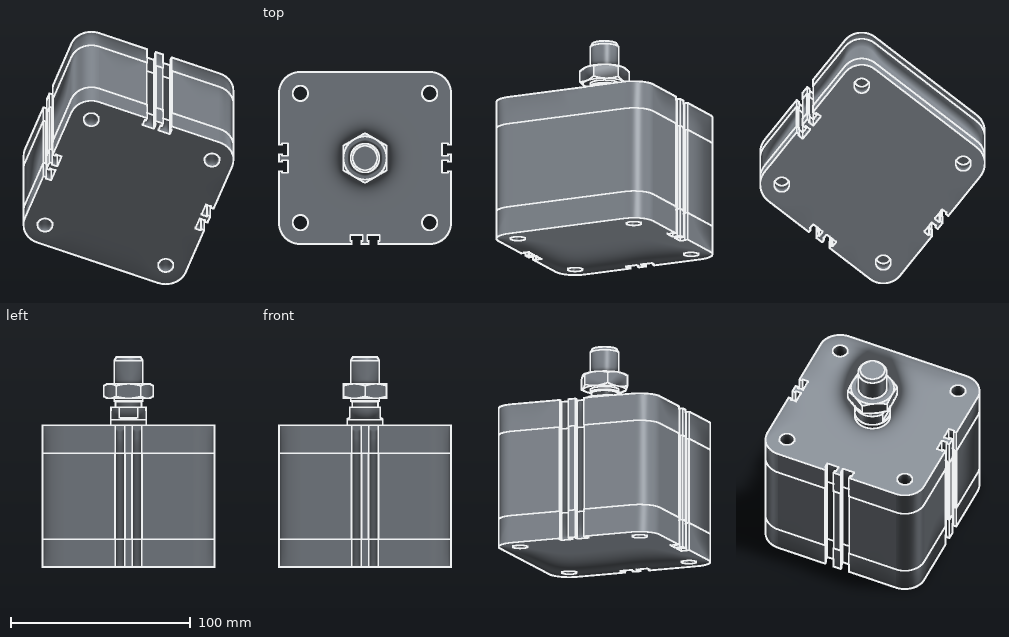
import cadquery as cq
import math

housing_side = 96.0
corner_radius = 12.0
cap_height = 15.5
housing_height = 79.0
barrel_height = housing_height - 2 * cap_height
top_cap_base_z = cap_height + barrel_height
bolt_hole_diameter = 8.4
bolt_hole_spacing = 72.0

slot_spacing = 9.5
slot_mouth_width = 5.1
slot_inner_width = 6.8
slot_lip_thickness = 1.8
slot_depth = 5.0
barrel_lip_chamfer = 0.3
slotted_side_angles = (-90, 0, 90)

rod_diameter = 20.0
shoulder_diameter = 19.8
neck_diameter = 14.5
thread_diameter = 16.0
tip_diameter = 13.6
rod_collar_height = 3.0
shoulder_height = 7.0
neck_height = 3.0
rod_step_z = housing_height + rod_collar_height
shoulder_z = rod_step_z + shoulder_height
thread_start_z = shoulder_z + neck_height
rod_end_z = 117.0
tip_chamfer_height = 2.0
thread_start_taper = 0.5
flat_width = 17.0
flat_height = 5.8
flat_floor_angle = 30.0

nut_width = 24.0
nut_height = 8.0
nut_base_z = 94.0
nut_chamfer_angle = 30.0
nut_sides = 6


def slot_outline(lip_chamfer):
    """Closed T-slot outline centred on X = 0, open through the -Y side; lip_chamfer breaks both lip edges."""
    outer_y = -housing_side / 2
    lip_y = outer_y + slot_lip_thickness
    floor_y = outer_y + slot_depth
    mouth = slot_mouth_width / 2
    inner = slot_inner_width / 2
    if lip_chamfer > 0:
        lip_edge = [
            (mouth + lip_chamfer, outer_y),
            (mouth, outer_y + lip_chamfer),
            (mouth, lip_y - lip_chamfer),
            (mouth + lip_chamfer, lip_y),
        ]
    else:
        lip_edge = [(mouth, outer_y), (mouth, lip_y)]
    right_half = lip_edge + [(inner, lip_y), (inner, floor_y)]
    left_half = [(-x, y) for x, y in reversed(right_half)]
    return right_half + left_half


def make_housing_section(base_z, height, lip_chamfer=0.0):
    """Rounded square block with four bolt holes and paired T-slots on three sides."""
    section = (
        cq.Workplane("XY", origin=(0, 0, base_z))
        .rect(housing_side, housing_side)
        .extrude(height)
        .edges("|Z")
        .fillet(corner_radius)
    )
    bolt_holes = (
        cq.Workplane("XY", origin=(0, 0, base_z))
        .rect(bolt_hole_spacing, bolt_hole_spacing, forConstruction=True)
        .vertices()
        .circle(bolt_hole_diameter / 2)
        .extrude(height)
    )
    section = section.cut(bolt_holes)
    for slot_x in (-slot_spacing / 2, slot_spacing / 2):
        slot = (
            cq.Workplane("XY", origin=(slot_x, 0, base_z))
            .polyline(slot_outline(lip_chamfer))
            .close()
            .extrude(height)
        )
        for angle in slotted_side_angles:
            section = section.cut(slot.rotate((0, 0, 0), (0, 0, 1), angle))
    return section


def make_top_cap():
    """Top housing section, bored through for the rod."""
    rod_bore = cq.Workplane("XY", origin=(0, 0, top_cap_base_z)).circle(rod_diameter / 2).extrude(cap_height)
    return make_housing_section(top_cap_base_z, cap_height).cut(rod_bore)


def make_flat_cutter():
    """Wedge that mills the +X wrench flat; its floor slopes down away from the rod axis."""
    flat_x = flat_width / 2
    floor_z = shoulder_z - flat_height
    outer_x = rod_diameter / 2
    outer_floor_z = floor_z - (outer_x - flat_x) * math.tan(math.radians(flat_floor_angle))
    return (
        cq.Workplane("XZ")
        .moveTo(flat_x, shoulder_z)
        .lineTo(flat_x, floor_z)
        .lineTo(outer_x, outer_floor_z)
        .lineTo(outer_x, shoulder_z)
        .close()
        .extrude(rod_diameter / 2, both=True)
    )


def make_rod():
    """Turned rod with a wrench flat on each X side and a chamfered threaded end."""
    thread_radius = thread_diameter / 2
    profile = [
        (0, top_cap_base_z),
        (rod_diameter / 2, top_cap_base_z),
        (rod_diameter / 2, rod_step_z),
        (shoulder_diameter / 2, rod_step_z),
        (shoulder_diameter / 2, shoulder_z),
        (neck_diameter / 2, shoulder_z),
        (neck_diameter / 2, thread_start_z),
        (thread_radius, thread_start_z + thread_start_taper),
        (thread_radius, rod_end_z - tip_chamfer_height),
        (tip_diameter / 2, rod_end_z),
        (0, rod_end_z),
    ]
    rod = cq.Workplane("XZ").polyline(profile).close().revolve(360, (0, 0, 0), (0, 1, 0))
    flat_cutter = make_flat_cutter()
    return rod.cut(flat_cutter).cut(flat_cutter.mirror("YZ"))


def make_nut():
    """Hexagon nut with corners on the Y axis, both faces chamfered to a circle as wide as the flats."""
    hex_corner_radius = nut_width / 2 / math.cos(math.pi / nut_sides)
    face_radius = nut_width / 2
    chamfer_drop = (hex_corner_radius - face_radius) * math.tan(math.radians(nut_chamfer_angle))
    nut_top_z = nut_base_z + nut_height
    hexagon = (
        cq.Workplane("XY", origin=(0, 0, nut_base_z))
        .polygon(nut_sides, 2 * hex_corner_radius)
        .extrude(nut_height)
        .rotate((0, 0, 0), (0, 0, 1), 90)
    )
    chamfer_envelope = (
        cq.Workplane("XZ")
        .polyline([
            (0, nut_base_z),
            (face_radius, nut_base_z),
            (hex_corner_radius, nut_base_z + chamfer_drop),
            (hex_corner_radius, nut_top_z - chamfer_drop),
            (face_radius, nut_top_z),
            (0, nut_top_z),
        ])
        .close()
        .revolve(360, (0, 0, 0), (0, 1, 0))
    )
    thread_hole = (
        cq.Workplane("XY", origin=(0, 0, nut_base_z))
        .circle(thread_diameter / 2)
        .extrude(nut_height)
    )
    return hexagon.intersect(chamfer_envelope).cut(thread_hole)


bottom_cap = make_housing_section(0, cap_height)
barrel = make_housing_section(cap_height, barrel_height, barrel_lip_chamfer)
top_cap = make_top_cap()
rod = make_rod()
nut = make_nut()

result = cq.Compound.makeCompound([
    bottom_cap.val(),
    barrel.val(),
    top_cap.val(),
    rod.val(),
    nut.val(),
])